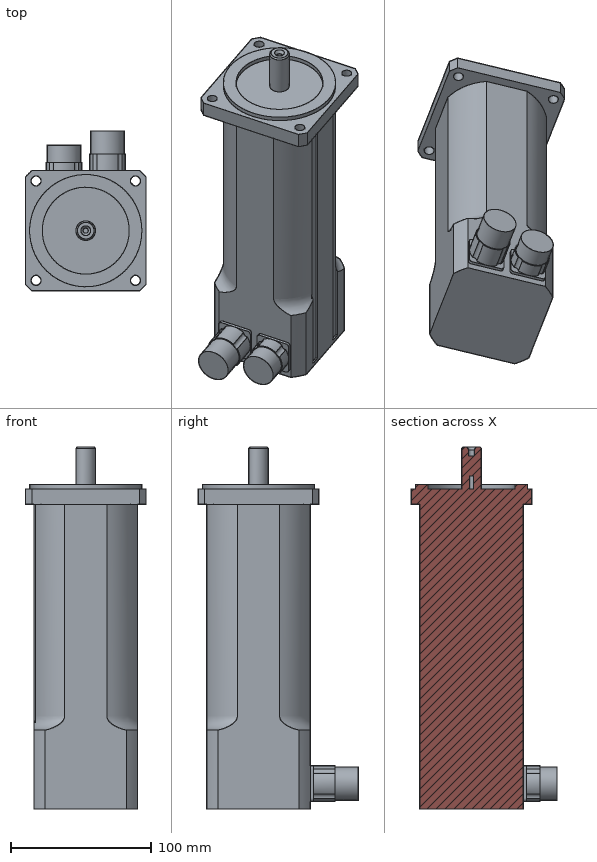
import cadquery as cq
import math

TOTAL_HEIGHT = 258.0
TOTAL_DEPTH = 114.0
SHAFT_LENGTH = 30.0
FLANGE_TOP = TOTAL_HEIGHT - SHAFT_LENGTH
FLANGE_THICKNESS = 11.0
FLANGE_BOTTOM = FLANGE_TOP - FLANGE_THICKNESS

FLANGE_SIDE = 86.0
FLANGE_CORNER_CHAMFER = 4.6
BOLT_HOLE_DIAMETER = 7.0
BOLT_CIRCLE_DIAMETER = 100.0
SPIGOT_DIAMETER = 80.0
SPIGOT_HEIGHT = 3.0
RECESS_DIAMETER = 62.0
RECESS_DEPTH = 3.0

SHAFT_DIAMETER = 14.0
SHAFT_CHAMFER = 1.0
CENTRE_BORE_DIAMETER = 3.5
CENTRE_BORE_DEPTH = 6.5
PILOT_DIAMETER = 2.5
PILOT_DEPTH = 10.3
COUNTERSINK_DIAMETER = 7.0
COUNTERSINK_ANGLE = 75.0

HOUSING_SIDE = 74.0
COLUMN_RADIUS = SPIGOT_DIAMETER / 2
BASE_RADIUS = 47.0
BASE_BLEND_RADIUS = 10.0
BASE_BLEND_TOP = 65.8

GROOVE_INNER_EDGE = 11.9
GROOVE_WIDTH = 6.5
GROOVE_DEPTH = 1.3
GROOVE_BOTTOM = 3.0

CONNECTOR_SPACING = 31.0
CONNECTOR_HEIGHT = 18.0
PLUG_DIAMETER = 24.0
SHORT_COLLAR_LENGTH = 11.5
SHORT_LENGTH = 24.0
LONG_COLLAR_LENGTH = 17.5
LONG_LENGTH = TOTAL_DEPTH - FLANGE_SIDE / 2 - HOUSING_SIDE / 2
PLATE_SIDE = 25.5
PLATE_THICKNESS = 2.0
PLATE_CORNER_RADIUS = 2.3
SCALLOP_RADIUS = 3.0


def make_column():
    """Square column trimmed by a turned envelope that flares from the column to the base."""
    blend_rise = BASE_RADIUS - COLUMN_RADIUS
    blend_centre_radius = COLUMN_RADIUS + BASE_BLEND_RADIUS
    blend_end_angle = math.acos(1 - blend_rise / BASE_BLEND_RADIUS)
    blend_bottom = BASE_BLEND_TOP - BASE_BLEND_RADIUS * math.sin(blend_end_angle)
    blend_middle = (
        blend_centre_radius - BASE_BLEND_RADIUS * math.cos(blend_end_angle / 2),
        BASE_BLEND_TOP - BASE_BLEND_RADIUS * math.sin(blend_end_angle / 2),
    )
    envelope = (
        cq.Workplane("XZ")
        .lineTo(BASE_RADIUS, 0)
        .lineTo(BASE_RADIUS, blend_bottom)
        .threePointArc(blend_middle, (COLUMN_RADIUS, BASE_BLEND_TOP))
        .lineTo(COLUMN_RADIUS, FLANGE_BOTTOM)
        .lineTo(0, FLANGE_BOTTOM)
        .close()
        .revolve(360, (0, 0, 0), (0, 1, 0))
    )
    square = cq.Workplane("XY").rect(HOUSING_SIDE, HOUSING_SIDE).extrude(FLANGE_BOTTOM)
    return square.intersect(envelope)


def make_grooves():
    """Cutters for the grooves, mirrored about the middle of the -X face."""
    groove_offset = GROOVE_INNER_EDGE + GROOVE_WIDTH / 2
    return (
        cq.Workplane("XY", origin=(-HOUSING_SIDE / 2, 0, GROOVE_BOTTOM))
        .pushPoints([(0, -groove_offset), (0, groove_offset)])
        .rect(2 * GROOVE_DEPTH, GROOVE_WIDTH)
        .extrude(FLANGE_BOTTOM - GROOVE_BOTTOM)
    )


def make_flange():
    """Chamfered square flange with four bolt holes and a recessed locating spigot."""
    bolt_pitch = BOLT_CIRCLE_DIAMETER / math.sqrt(2)
    plate = (
        cq.Workplane("XY", origin=(0, 0, FLANGE_BOTTOM))
        .rect(FLANGE_SIDE, FLANGE_SIDE)
        .extrude(FLANGE_THICKNESS)
        .edges("|Z")
        .chamfer(FLANGE_CORNER_CHAMFER)
    )
    bolt_holes = (
        cq.Workplane("XY", origin=(0, 0, FLANGE_BOTTOM))
        .rect(bolt_pitch, bolt_pitch, forConstruction=True)
        .vertices()
        .circle(BOLT_HOLE_DIAMETER / 2)
        .extrude(FLANGE_THICKNESS)
    )
    spigot_top = FLANGE_TOP + SPIGOT_HEIGHT
    spigot = cq.Workplane("XY", origin=(0, 0, FLANGE_TOP)).circle(SPIGOT_DIAMETER / 2).extrude(SPIGOT_HEIGHT)
    recess = cq.Workplane("XY", origin=(0, 0, spigot_top)).circle(RECESS_DIAMETER / 2).extrude(-RECESS_DEPTH)
    return plate.cut(bolt_holes).union(spigot).cut(recess)


def make_shaft():
    """Chamfered shaft with a countersunk, stepped centre bore in its end."""
    return (
        cq.Workplane("XY", origin=(0, 0, FLANGE_BOTTOM))
        .circle(SHAFT_DIAMETER / 2)
        .extrude(TOTAL_HEIGHT - FLANGE_BOTTOM)
        .faces(">Z")
        .chamfer(SHAFT_CHAMFER)
        .faces(">Z")
        .workplane()
        .cskHole(CENTRE_BORE_DIAMETER, COUNTERSINK_DIAMETER, COUNTERSINK_ANGLE, CENTRE_BORE_DEPTH)
        .hole(PILOT_DIAMETER, PILOT_DEPTH)
    )


def make_housing():
    """Motor housing in one piece with its flange and shaft."""
    return make_column().cut(make_grooves()).union(make_flange()).union(make_shaft())


def make_connector(x, collar_length, length):
    """Connector standing on the +Y face: square plate, scalloped collar and round plug."""
    screw_pitch = PLATE_SIDE - 2 * PLATE_CORNER_RADIUS
    base = cq.Workplane("XZ", origin=(x, HOUSING_SIDE / 2, CONNECTOR_HEIGHT))
    plate = (
        base.rect(PLATE_SIDE, PLATE_SIDE)
        .extrude(-PLATE_THICKNESS)
        .edges("|Y")
        .fillet(PLATE_CORNER_RADIUS)
    )
    scallops = (
        base.rect(screw_pitch, screw_pitch, forConstruction=True)
        .vertices()
        .circle(SCALLOP_RADIUS)
        .extrude(-collar_length)
    )
    collar = base.circle(PLATE_SIDE / 2).extrude(-collar_length).cut(scallops)
    plug = base.workplane(offset=-collar_length).circle(PLUG_DIAMETER / 2).extrude(collar_length - length)
    return collar.union(plate).union(plug)


housing = make_housing()
short_connector = make_connector(-CONNECTOR_SPACING / 2, SHORT_COLLAR_LENGTH, SHORT_LENGTH)
long_connector = make_connector(CONNECTOR_SPACING / 2, LONG_COLLAR_LENGTH, LONG_LENGTH)

result = cq.Compound.makeCompound([housing.val(), short_connector.val(), long_connector.val()])